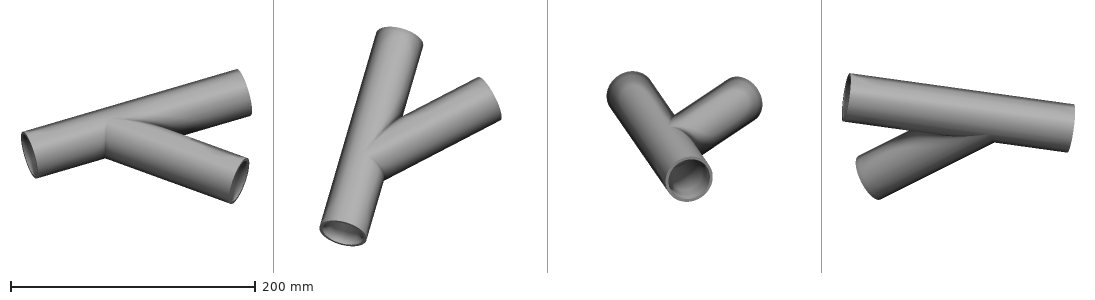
import cadquery as cq

outer_diameter = 40.0
bore_diameter = 35.2
run_length = 187.0
branch_length = 119.9
branch_angle = 45.0
junction_y = 67.0


def rod_along_y(diameter, start_y, length):
    """Solid cylinder on the Y axis, running toward +Y from start_y."""
    start = cq.Vector(0, start_y, 0)
    toward_y = cq.Vector(0, 1, 0)
    return cq.Workplane(cq.Solid.makeCylinder(diameter / 2, length, start, toward_y))


def wye(diameter):
    """Run and branch cylinders of equal diameter, axes crossing at the origin."""
    run = rod_along_y(diameter, -junction_y, run_length)
    branch = rod_along_y(diameter, 0, branch_length)
    branch = branch.rotate((0, 0, 0), (0, 0, 1), -branch_angle)
    return run.union(branch)


result = wye(outer_diameter).cut(wye(bore_diameter))